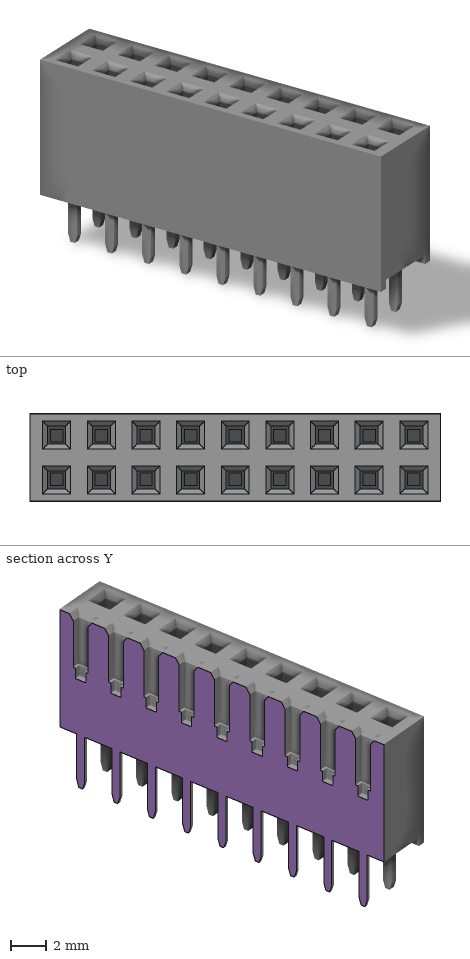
import cadquery as cq

length = 23.35
width = 5.0
total_height = 11.5
housing_height = 8.5

rail_width = 0.5
rail_height = 0.55

columns = 9
rows = 2
end_margin = 1.52
socket_pitch = (length - 2 * end_margin) / (columns - 1)
pin_row_pitch = 2.48

mouth_size = 1.6
throat_size = 1.03
funnel_depth = 0.4
well_depth = 3.5
bore_size = 0.7
bore_depth = 0.7

pin_width = 0.6
pin_thickness = 0.42
tip_width = 0.3
tip_height = 0.5

housing_bottom = total_height - housing_height
channel_roof = housing_bottom + rail_height


def grid_points(row_pitch):
    """Centres of the contact grid, mirrored about the housing centre."""
    return [
        ((column - (columns - 1) / 2) * socket_pitch, (row - (rows - 1) / 2) * row_pitch)
        for column in range(columns)
        for row in range(rows)
    ]


def make_housing():
    block = cq.Workplane("XY").workplane(offset=housing_bottom).rect(length, width).extrude(housing_height)
    channel = (
        cq.Workplane("XY")
        .workplane(offset=housing_bottom)
        .rect(length, width - 2 * rail_width)
        .extrude(rail_height)
    )
    return block.cut(channel)


def make_wells():
    """Funnels and wells that the mating pins enter from above."""
    centres = grid_points(socket_pitch)
    wells = (
        cq.Workplane("XY")
        .workplane(offset=total_height)
        .pushPoints(centres)
        .rect(throat_size, throat_size)
        .extrude(-well_depth)
    )
    for x, y in centres:
        funnel = (
            cq.Workplane("XY", origin=(x, y, total_height))
            .rect(mouth_size, mouth_size)
            .workplane(offset=-funnel_depth)
            .rect(throat_size, throat_size)
            .loft(ruled=True)
        )
        wells = wells.union(funnel)
    return wells


def make_bores():
    """Contact bores in the well floors, on the same row spacing as the pins."""
    return (
        cq.Workplane("XY")
        .workplane(offset=total_height - well_depth)
        .pushPoints(grid_points(pin_row_pitch))
        .rect(bore_size, bore_size)
        .extrude(-bore_depth)
    )


def make_pin():
    """Flat pin whose narrow edges taper towards the tip, standing on the origin."""
    return (
        cq.Workplane("XZ")
        .moveTo(-tip_width / 2, 0)
        .lineTo(tip_width / 2, 0)
        .lineTo(pin_width / 2, tip_height)
        .lineTo(pin_width / 2, channel_roof)
        .lineTo(-pin_width / 2, channel_roof)
        .lineTo(-pin_width / 2, tip_height)
        .close()
        .extrude(pin_thickness / 2, both=True)
    )


result = make_housing().cut(make_wells()).cut(make_bores())
pin = make_pin()
for pin_x, pin_y in grid_points(pin_row_pitch):
    result = result.union(pin.translate((pin_x, pin_y, 0)))